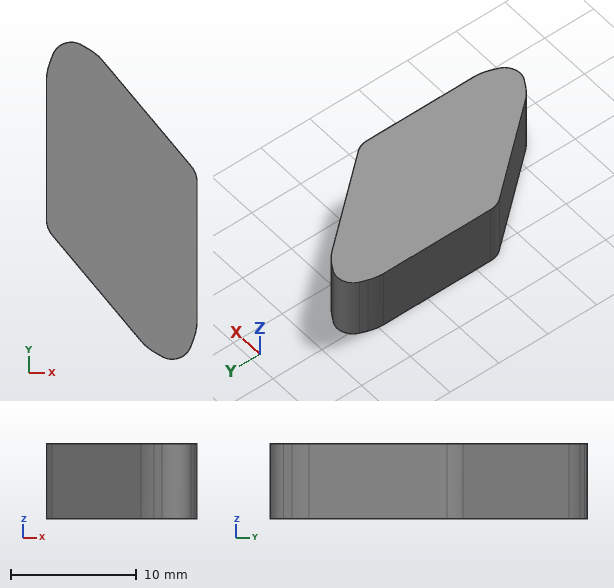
import cadquery as cq
import math

INSCRIBED_CIRCLE = 12.0
THICKNESS = 6.0
OVERALL_LENGTH = 25.22
NOSE_ANGLE = 40.0
FACET_TURN = 20.0
NOSE_RADIUS = 1.6
BLEND_RADIUS = 4.0
OBTUSE_RADIUS = 2.0

inner_radius = INSCRIBED_CIRCLE / 2
half_nose = math.radians(NOSE_ANGLE / 2)
half_facets = half_nose + math.radians(FACET_TURN)

acute_corner = inner_radius / math.sin(half_nose)
obtuse_corner = inner_radius / math.cos(half_nose)
nose_center = (OVERALL_LENGTH / 2 - NOSE_RADIUS) / math.cos(half_nose)
facet_apex = nose_center + NOSE_RADIUS / math.sin(half_facets)

side_slope = math.tan(half_nose)
facet_slope = math.tan(half_facets)
facet_corner = (facet_apex * facet_slope - acute_corner * side_slope) / (facet_slope - side_slope)
facet_half_width = (acute_corner - facet_corner) * side_slope


def sharp_corners():
    """Corners as (across, along, radius), with the long diagonal along the second axis."""
    half_outline = [
        (obtuse_corner, 0.0, OBTUSE_RADIUS),
        (facet_half_width, facet_corner, BLEND_RADIUS),
        (0.0, facet_apex, NOSE_RADIUS),
        (-facet_half_width, facet_corner, BLEND_RADIUS),
    ]
    opposite_half = [(-across, -along, radius) for across, along, radius in half_outline]
    return half_outline + opposite_half


def to_part_axes(across, along):
    """Turn the long diagonal by half the nose angle so that two sides run parallel to Y."""
    x = across * math.cos(half_nose) - along * math.sin(half_nose)
    y = across * math.sin(half_nose) + along * math.cos(half_nose)
    return x, y


def make_insert():
    """Extrude the sharp outline and round each vertical edge."""
    corners = [(to_part_axes(across, along), radius) for across, along, radius in sharp_corners()]
    points = [point for point, _ in corners]
    body = cq.Workplane("XY").polyline(points).close().extrude(THICKNESS)
    for (x, y), radius in corners:
        corner_edge = cq.selectors.NearestToPointSelector((x, y, THICKNESS / 2))
        body = body.edges("|Z").edges(corner_edge).fillet(radius)
    return body


result = make_insert()